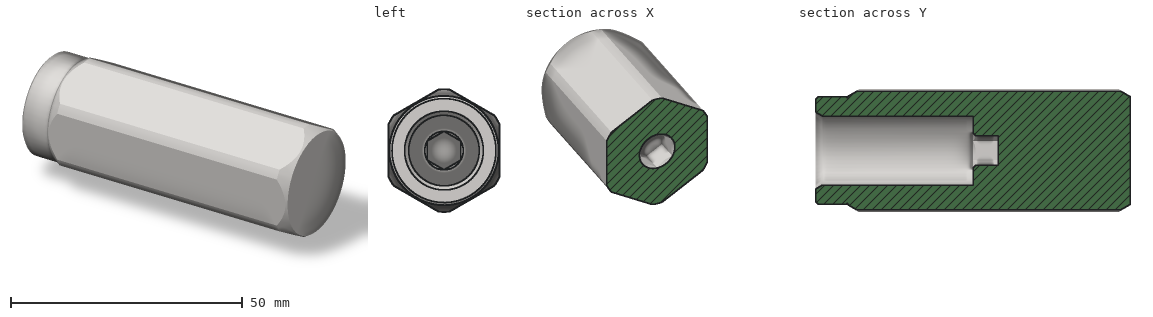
import cadquery as cq
import math

length = 68.0
across_flats = 24.0
corner_diameter = 26.5
collar_diameter = 23.5
collar_length = 6.95
shoulder_diameter = 23.65
collar_chamfer = 0.55
collar_back_chamfer = 0.3
cone_angle = math.radians(30)

bore_diameter = 15.2
bore_depth = 34.0
bore_mouth_diameter = 17.0
socket_across_flats = 7.2
socket_depth = 5.45

corner_radius = corner_diameter / 2
collar_radius = collar_diameter / 2
shoulder_radius = shoulder_diameter / 2
cone_length = (corner_radius - collar_radius) / math.tan(cone_angle)
bore_chamfer_length = (bore_mouth_diameter - bore_diameter) / 2 / math.tan(cone_angle)
socket_diameter = socket_across_flats / math.cos(math.radians(30))


def hexagonal_prism(flats, start, depth):
    """Hexagonal prism along +X, with two corners on the Z axis."""
    radius = flats / 2 / math.cos(math.radians(30))
    angles = [math.radians(90 + 60 * i) for i in range(6)]
    corners = [(radius * math.cos(a), radius * math.sin(a)) for a in angles]
    return cq.Workplane("YZ", origin=(start, 0, 0)).polyline(corners).close().extrude(depth)


def revolve_about_x(profile):
    """Solid of revolution about X from (x, radius) points."""
    return cq.Workplane("XY").polyline(profile).close().revolve(360, (0, 0, 0), (1, 0, 0))


def make_body():
    """Hexagonal bar with its corners turned round and both ends coned."""
    front_cone_length = (corner_radius - shoulder_radius) / math.tan(cone_angle)
    turned = revolve_about_x([
        (collar_length, 0),
        (collar_length, shoulder_radius),
        (collar_length + front_cone_length, corner_radius),
        (length - cone_length, corner_radius),
        (length, collar_radius),
        (length, 0),
    ])
    return hexagonal_prism(across_flats, 0, length).intersect(turned)


def make_collar():
    """Round collar, chamfered at both ends."""
    return revolve_about_x([
        (0, 0),
        (0, collar_radius - collar_chamfer),
        (collar_chamfer, collar_radius),
        (collar_length - collar_back_chamfer, collar_radius),
        (collar_length, collar_radius - collar_back_chamfer),
        (collar_length, 0),
    ])


def make_bore():
    """Round bore with a chamfered mouth."""
    return revolve_about_x([
        (0, 0),
        (0, bore_mouth_diameter / 2),
        (bore_chamfer_length, bore_diameter / 2),
        (bore_depth, bore_diameter / 2),
        (bore_depth, 0),
    ])


def make_socket():
    """Hexagonal socket in the bore floor, with a conical lead-in as wide as its corners."""
    lead_in = (socket_diameter - socket_across_flats) / 2
    cone = revolve_about_x([
        (bore_depth, 0),
        (bore_depth, socket_diameter / 2),
        (bore_depth + lead_in, socket_across_flats / 2),
        (bore_depth + lead_in, 0),
    ])
    return hexagonal_prism(socket_across_flats, bore_depth, socket_depth).union(cone)


result = make_body().union(make_collar()).cut(make_bore()).cut(make_socket())